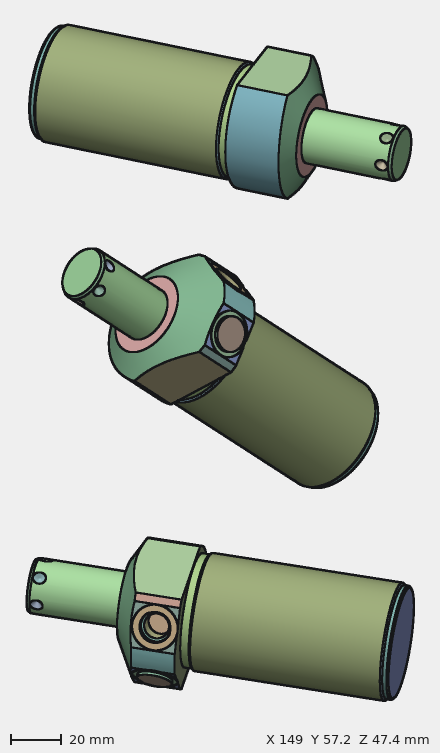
import cadquery as cq
import math

rear_land_end = 2.4
front_collar_start = 80.6
head_start = 84.0
head_end = 111.0
total_length = 149.0

body_radius = 23.6
land_radius = 22.8
land_chamfer = 0.7
shoulder_chamfer = body_radius - land_radius

head_width = 57.15
head_radius = head_width / 2
head_offset = 4.3
head_flat_spacing = 47.37
nose_radius = 16.6
nose_angle = 60.0

rod_radius = 11.1
rod_chamfer_length = 1.3
rod_chamfer_depth = 0.7
dimple_count = 6
dimple_radius = 2.6
dimple_depth = 2.6
dimple_overrun = 1.0
dimple_x = total_length - 4.1

port_angle = 30.0
port_x = head_start + 9.1
facet_distance = 27.0
spotface_radius = 9.2
spotface_depth = 0.3
port_mouth_radius = 6.2
port_mouth_depth = 2.7
port_bore_radius = 5.0
port_cone_depth = 0.35
port_bore_depth = 9.0

plug_radius = 7.1
plug_height = 1.1


def revolve_about_x(points):
    """Revolve an (x, radius) outline about the X axis."""
    return cq.Workplane("XY").polyline(points).close().revolve(360, (0, 0, 0), (1, 0, 0))


def make_body():
    return revolve_about_x([
        (0, 0),
        (0, land_radius - land_chamfer),
        (land_chamfer, land_radius),
        (rear_land_end, land_radius),
        (rear_land_end + shoulder_chamfer, body_radius),
        (front_collar_start - shoulder_chamfer, body_radius),
        (front_collar_start, land_radius),
        (head_start, land_radius),
        (head_start, 0),
    ])


def make_rod():
    return revolve_about_x([
        (head_end, 0),
        (head_end, rod_radius),
        (total_length - rod_chamfer_length, rod_radius),
        (total_length, rod_radius - rod_chamfer_depth),
        (total_length, 0),
    ])


def make_head():
    head_length = head_end - head_start
    head = (
        cq.Workplane("YZ", origin=(head_start, head_offset, 0))
        .circle(head_radius)
        .extrude(head_length)
    )
    flats = (
        cq.Workplane("YZ", origin=(head_start, head_offset, 0))
        .rect(head_width, head_flat_spacing)
        .extrude(head_length)
    )
    rear_radius = nose_radius + head_length * math.tan(math.radians(nose_angle))
    nose = revolve_about_x([
        (head_start, 0),
        (head_start, rear_radius),
        (head_end, nose_radius),
        (head_end, 0),
    ])
    return head.intersect(flats).intersect(nose)


def port_plane(side, distance):
    """Plane facing outward along a port axis; side is +1 for upper, -1 for lower."""
    outward_y = math.cos(math.radians(port_angle))
    outward_z = side * math.sin(math.radians(port_angle))
    origin = (port_x, head_offset + distance * outward_y, distance * outward_z)
    return cq.Workplane(cq.Plane(origin=origin, xDir=(1, 0, 0), normal=(0, outward_y, outward_z)))


def cut_facet(head, side):
    facet_waste = port_plane(side, facet_distance).rect(head_width, head_width).extrude(head_radius)
    spotface = port_plane(side, facet_distance).circle(spotface_radius).extrude(-spotface_depth)
    return head.cut(facet_waste).cut(spotface)


def make_port_bore(side):
    """Stepped bore below the spotface: wide mouth, short cone, narrower blind bore."""
    cone_end = port_mouth_depth + port_cone_depth
    bore_end = cone_end + port_bore_depth
    return (
        port_plane(side, facet_distance - spotface_depth)
        .transformed(rotate=(90, 0, 0))
        .polyline([
            (0, 0),
            (port_mouth_radius, 0),
            (port_mouth_radius, -port_mouth_depth),
            (port_bore_radius, -cone_end),
            (port_bore_radius, -bore_end),
            (0, -bore_end),
        ])
        .close()
        .revolve(360, (0, 0, 0), (0, 1, 0))
    )


def make_plug(side):
    return (
        port_plane(side, facet_distance - spotface_depth)
        .circle(plug_radius)
        .extrude(spotface_depth + plug_height)
    )


def make_dimple():
    """Cone pointing at the rod axis; it runs past the rod surface so the cut opens fully."""
    cone_height = dimple_depth + dimple_overrun
    mouth_radius = dimple_radius * cone_height / dimple_depth
    tip = cq.Vector(dimple_x, rod_radius - dimple_depth, 0)
    return cq.Workplane(obj=cq.Solid.makeCone(0, mouth_radius, cone_height, pnt=tip, dir=cq.Vector(0, 1, 0)))


def cut_dimples(part):
    dimple = make_dimple()
    for index in range(dimple_count):
        angle = index * 360 / dimple_count
        part = part.cut(dimple.rotate((0, 0, 0), (1, 0, 0), angle))
    return part


upper = 1
lower = -1

head = make_head()
for side in (upper, lower):
    head = cut_facet(head, side)
head = head.cut(make_port_bore(upper)).union(make_plug(lower))

result = cut_dimples(make_body().union(head).union(make_rod()))